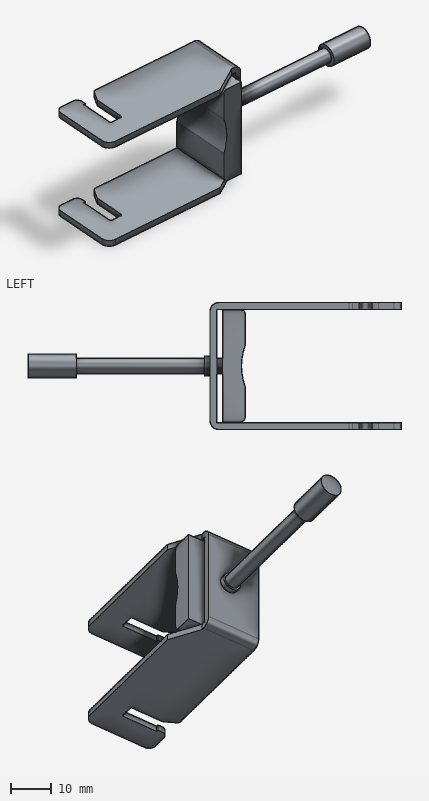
import cadquery as cq

width = 20.0
height = 31.6
bracket_length = 47.6
sheet = 1.8
bend_radius = 2.2
back_width = 15.1
shoulder_front_y = 36.6
shoulder_back_y = 44.6
left_corner_radius = 1.9
right_corner_radius = 2.4

slot_front_y = 6.7
slot_back_y = 10.5
slot_end_x = 13.2
slot_corner_radius = 0.5
lip_height = 0.6
lip_y = slot_front_y + lip_height
lip_end_x = 2.9
lip_radius = 1.6
mouth_x = 3.6
mouth_y = 12.4
mouth_radius = 0.9

pad_left_x = 0.9
pad_width = 18.1
pad_height = 27.9
pad_front_y = 38.75
pad_back_y = 44.4
pad_top_radius = 0.9
pad_bottom_radius = 1.4
groove_width = 10.3
groove_depth = 0.9

screw_x = 9.0
total_length = 92.7
rod_diameter = 4.0
collar_diameter = 5.0
collar_length = 1.4
cap_diameter = 6.0
cap_length = 12.0


def make_bracket():
    """Bent side profile trimmed to the leg outline."""
    sheet_profile = (
        cq.Workplane("YZ")
        .rect(2 * bracket_length, height)
        .extrude(width)
        .edges("|X and >Y")
        .fillet(bend_radius)
    )
    opening = cq.Workplane("YZ").rect(2 * (bracket_length - sheet), height - 2 * sheet).extrude(width)
    outline = (
        cq.Workplane("XY")
        .polyline([
            (0, 0),
            (width, 0),
            (width, shoulder_front_y),
            (back_width, shoulder_back_y),
            (back_width, bracket_length),
            (0, bracket_length),
        ])
        .close()
        .extrude(height / 2, both=True)
    )
    outline = outline.edges("|Z and <Y and <X").fillet(left_corner_radius)
    outline = outline.edges("|Z and <Y and >X").fillet(right_corner_radius)
    outline = outline.cut(make_slot())
    outline = outline.edges(cq.NearestToPointSelector((0, lip_y, 0))).fillet(lip_radius)
    outline = outline.edges(cq.NearestToPointSelector((0, mouth_y, 0))).fillet(mouth_radius)
    return sheet_profile.cut(opening).intersect(outline)


def make_slot():
    """Cutter with a flared mouth above a small retaining lip, and rounded inner corners."""
    slot_length = slot_end_x - lip_end_x
    channel = (
        cq.Workplane("XY")
        .center(lip_end_x + slot_length / 2, (slot_front_y + slot_back_y) / 2)
        .rect(slot_length, slot_back_y - slot_front_y)
        .extrude(height / 2, both=True)
        .edges("|Z and >X")
        .fillet(slot_corner_radius)
    )
    mouth = (
        cq.Workplane("XY")
        .polyline([
            (0, lip_y),
            (lip_end_x, lip_y),
            (lip_end_x, slot_back_y),
            (mouth_x, slot_back_y),
            (0, mouth_y),
        ])
        .close()
        .extrude(height / 2, both=True)
    )
    return channel.union(mouth)


def make_pad():
    """Block with rounded front edges and a groove across its front face."""
    half_height = pad_height / 2
    half_groove = groove_width / 2
    return (
        cq.Workplane("YZ", origin=(pad_left_x, 0, 0))
        .moveTo(pad_back_y, -half_height)
        .lineTo(pad_front_y, -half_height)
        .lineTo(pad_front_y, -half_groove)
        .threePointArc((pad_front_y + groove_depth, 0), (pad_front_y, half_groove))
        .lineTo(pad_front_y, half_height)
        .lineTo(pad_back_y, half_height)
        .close()
        .extrude(pad_width)
        .edges("|X and >Z and (not >Y)")
        .fillet(pad_top_radius)
        .edges("|X and <Z and (not >Y)")
        .fillet(pad_bottom_radius)
    )


def screw_section(diameter, start_y, end_y):
    """Cylinder on the screw axis between two Y positions."""
    return (
        cq.Workplane("XZ", origin=(screw_x, start_y, 0))
        .circle(diameter / 2)
        .extrude(start_y - end_y)
    )


rod = screw_section(rod_diameter, pad_back_y, total_length)
collar = screw_section(collar_diameter, bracket_length, bracket_length + collar_length)
cap = screw_section(cap_diameter, total_length - cap_length, total_length)

result = make_bracket().union(make_pad()).union(rod).union(collar).union(cap)